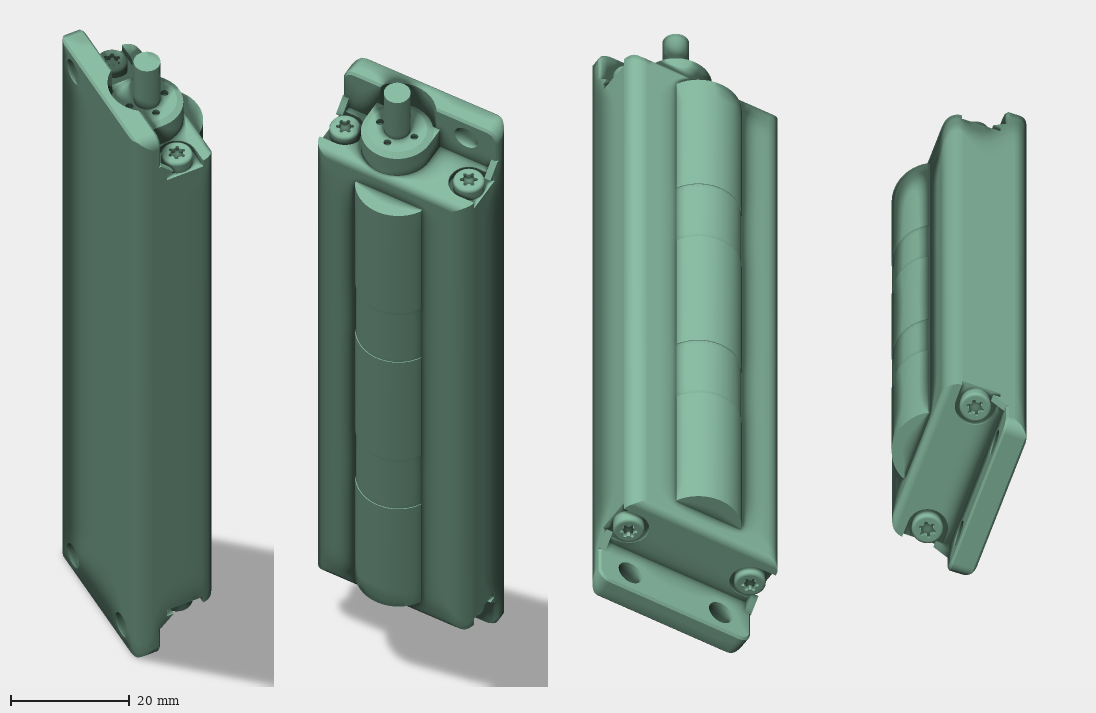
import cadquery as cq

width = 30.0
depth = 15.0
flange_length = 128.0
flange_thickness = 4.4
flange_overhang = 9.2
flange_corner_radius = 2.3
rim_chamfer = 0.4
long_edge_radius = 2.9
back_end_radius = 1.3
gusset_size = 2.4
gusset_width = 1.2

hole_diameter = 4.5
hole_x = 8.9
hole_end_distance = 4.0

screw_x = 12.0
screw_y = 8.9
screw_head_radius = 2.7
screw_head_height = 2.3
screw_head_rounding = 0.5
pocket_radius = 3.5
pocket_depth = 1.5
socket_core_radius = 1.0
socket_lobe_radius = 0.33
socket_lobe_circle_radius = 1.2
socket_lobe_count = 6
socket_depth = 1.0

gland_x = 2.3
gland_y = 8.3
gland_radius = 6.1
gland_height = 4.9
gland_chamfer_height = 0.5
gland_chamfer_width = 1.0
gland_clearance = 0.5
spanner_hole_count = 4
spanner_hole_radius = 0.7
spanner_hole_circle_radius = 3.3
spanner_hole_depth = 1.0
cable_diameter = 4.5
overall_length = 133.1

lens_width = 12.8
lens_height = 4.1
lens_lip_height = 0.4
lens_length = 25.3
lens_count = 3
bridge_height = 4.0
bridge_lip_height = 0.1
bridge_length = 12.8

body_bottom = flange_overhang
body_top = flange_length - flange_overhang
middle_z = flange_length / 2


def flange():
    """Full-length plate with rounded corners and chamfered rims."""
    plate = (
        cq.Workplane("XY")
        .box(width, flange_thickness, flange_length, centered=(True, False, False))
        .edges("|Y")
        .fillet(flange_corner_radius)
    )
    return plate.faces("<Y or >Y").edges().chamfer(rim_chamfer)


def bar():
    """Thick middle stretch with its two back end edges rounded."""
    return (
        cq.Workplane("XY", origin=(0, 0, body_bottom))
        .box(width, depth, body_top - body_bottom, centered=(True, False, False))
        .edges("|X and >Y")
        .fillet(back_end_radius)
    )


def gusset(side):
    """Sloped web at the bottom end, along the left (side -1) or right (side +1) edge."""
    outline = [
        (0, body_bottom - gusset_size),
        (flange_thickness, body_bottom - gusset_size),
        (flange_thickness + gusset_size, body_bottom),
        (0, body_bottom),
    ]
    return (
        cq.Workplane("YZ", origin=(side * width / 2, 0, 0))
        .polyline(outline)
        .close()
        .extrude(-side * gusset_width)
    )


def long_edge_envelope():
    """Prism with the rounded cross-section that trims all four long edges."""
    return (
        cq.Workplane("XY")
        .box(width, depth, flange_length, centered=(True, False, False))
        .edges("|Z")
        .fillet(long_edge_radius)
    )


def mounting_holes():
    """Two through holes at the bottom end and one at the top left."""
    top_z = flange_length - hole_end_distance
    centres = [(-hole_x, hole_end_distance), (hole_x, hole_end_distance), (-hole_x, top_z)]
    return (
        cq.Workplane("XZ")
        .pushPoints(centres)
        .circle(hole_diameter / 2)
        .extrude(-flange_thickness)
    )


def screw_pocket(side):
    """Pocket at the top end, open to the left (side -1) or right (side +1)."""
    floor = cq.Workplane("XY", origin=(side * screw_x, screw_y, body_top - pocket_depth))
    bore = floor.circle(pocket_radius).extrude(pocket_depth)
    mouth = floor.center(side * pocket_radius / 2, 0).rect(pocket_radius, 2 * pocket_radius)
    return bore.union(mouth.extrude(pocket_depth))


def screw_head(side):
    """Round head at the top end with a six-lobed socket."""
    floor = cq.Workplane("XY", origin=(side * screw_x, screw_y, body_top - pocket_depth))
    head = floor.circle(screw_head_radius).extrude(screw_head_height)
    head = head.faces(">Z").edges().fillet(screw_head_rounding)
    socket_plane = floor.workplane(offset=screw_head_height - socket_depth)
    core = socket_plane.circle(socket_core_radius).extrude(socket_depth)
    lobes = (
        socket_plane.polarArray(socket_lobe_circle_radius, 90, 360, socket_lobe_count)
        .circle(socket_lobe_radius)
        .extrude(socket_depth)
    )
    return head.cut(core.union(lobes))


def at_both_ends(shape):
    """The shape and its mirror image at the other end of the bar."""
    return [shape, shape.mirror("XY", (0, 0, middle_z))]


def gland_relief():
    """Round clearance through the flange above the bar end."""
    return (
        cq.Workplane("XY", origin=(gland_x, gland_y, body_top))
        .circle(gland_radius + gland_clearance)
        .extrude(flange_overhang)
    )


def gland_and_cable():
    """Chamfered round gland with a flat-sided foot against the flange, and its cable."""
    base = cq.Workplane("XY", origin=(gland_x, gland_y, body_top))
    gland = base.circle(gland_radius).extrude(gland_height)
    gland = gland.faces(">Z").edges().chamfer(gland_chamfer_height, gland_chamfer_width)
    spanner_holes = (
        base.workplane(offset=gland_height - spanner_hole_depth)
        .polarArray(spanner_hole_circle_radius, 0, 360, spanner_hole_count)
        .circle(spanner_hole_radius)
        .extrude(spanner_hole_depth)
    )
    foot_length = gland_y - flange_thickness
    foot = (
        base.center(0, -foot_length / 2)
        .rect(2 * gland_radius, foot_length)
        .extrude(gland_height - gland_chamfer_height)
    )
    gland = gland.union(foot)
    cable = base.circle(cable_diameter / 2).extrude(overall_length - body_top)
    return gland.cut(spanner_holes).union(cable)


def make_housing():
    """Flange, bar, gussets, end screws, gland and cable as one solid."""
    housing = flange().union(bar())
    for side in (-1, 1):
        for web in at_both_ends(gusset(side)):
            housing = housing.union(web)
    housing = housing.intersect(long_edge_envelope())
    housing = housing.cut(mounting_holes()).cut(gland_relief())
    for side in (-1, 1):
        for pocket in at_both_ends(screw_pocket(side)):
            housing = housing.cut(pocket)
        for head in at_both_ends(screw_head(side)):
            housing = housing.union(head)
    return housing.union(gland_and_cable())


def arched_bar(start_z, length, height, lip_height):
    """Bar on the back face with an arched top above upright lips."""
    half_width = lens_width / 2
    return (
        cq.Workplane("XY", origin=(0, depth, start_z))
        .moveTo(-half_width, 0)
        .lineTo(-half_width, lip_height)
        .threePointArc((0, height), (half_width, lip_height))
        .lineTo(half_width, 0)
        .close()
        .extrude(length)
    )


def make_lens_bar():
    """Lenses and bridges in turn along the middle of the back face, as one solid."""
    pitch = lens_length + bridge_length
    total_length = (lens_count - 1) * pitch + lens_length
    start_z = middle_z - total_length / 2
    lens_bar = arched_bar(start_z, lens_length, lens_height, lens_lip_height)
    for index in range(1, lens_count):
        lens_z = start_z + index * pitch
        bridge = arched_bar(lens_z - bridge_length, bridge_length, bridge_height, bridge_lip_height)
        lens = arched_bar(lens_z, lens_length, lens_height, lens_lip_height)
        lens_bar = lens_bar.union(bridge).union(lens)
    return lens_bar


housing = make_housing()
lens_bar = make_lens_bar()
result = cq.Compound.makeCompound([housing.val(), lens_bar.val()])